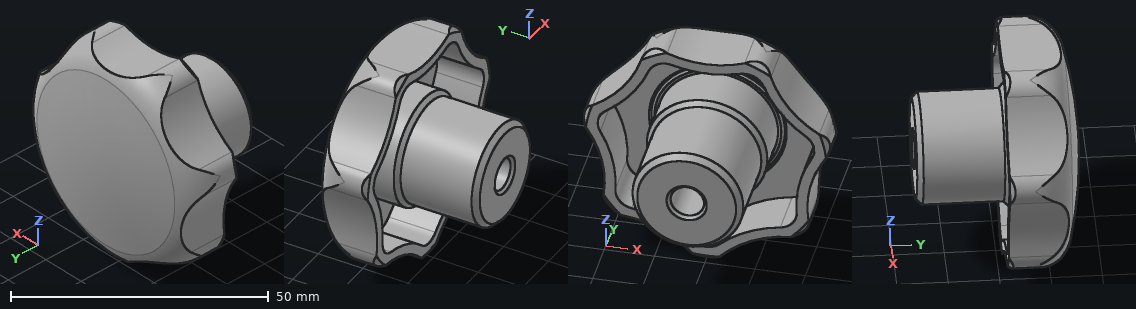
import cadquery as cq
import math


LOBES = 7
FIRST_LOBE_ANGLE = -90.0

HEAD_HEIGHT = 15.0
LOBE_TIP_RADIUS = 25.0
DOME_EDGE_RADIUS = 19.6
DOME_RISE = 2.55
SHOULDER_RADIUS = 8.0
RIM_CHAMFER = 1.0

LOBE_CENTER_RADIUS = 21.05
VALLEY_RADIUS = 21.25
VALLEY_WALL = 2.2
POCKET_LOBE_TIP = 21.95
POCKET_DEPTH = 10.45

STEM_DIAMETER = 22.0
STEM_LENGTH = 17.05
STEM_CHAMFER = 1.17
HUB_DIAMETER = 24.0

GROOVE_INNER_RADIUS = 12.65
GROOVE_BOTTOM_RADIUS = 13.3
GROOVE_OUTER_RADIUS = 13.7
GROOVE_DEPTH = 0.3

HOLE_DIAMETER = 6.65
HOLE_MOUTH_DIAMETER = 8.0
HOLE_DEPTH = 16.0

HALF_PITCH = math.pi / LOBES
AXIS_START = (0, 0, 0)
AXIS_END = (0, 1, 0)


def revolve(profile):
    """Turn a closed (radius, Y) profile about the Y axis."""
    return profile.close().revolve(360, AXIS_START, AXIS_END)


def polar(radius, angle):
    return radius * math.cos(angle), radius * math.sin(angle)


def valley_arc_radius(lobe_center, lobe_radius, valley_radius):
    """Radius of the hollow arc that is tangent to the lobes on either side."""
    along = lobe_center * math.cos(HALF_PITCH) - valley_radius
    across = lobe_center * math.sin(HALF_PITCH)
    return (along**2 + across**2 - lobe_radius**2) / (2 * (along + lobe_radius))


def lobed_prism(lobe_center, lobe_radius, valley_radius, length):
    """Extrude a tangent chain of lobe and valley arcs toward +Y from the rim."""
    arc_radius = valley_arc_radius(lobe_center, lobe_radius, valley_radius)
    valley_center = valley_radius + arc_radius
    share = lobe_radius / (lobe_radius + arc_radius)

    def tangent_point(lobe_angle, side):
        lobe = polar(lobe_center, lobe_angle)
        valley = polar(valley_center, lobe_angle + side * HALF_PITCH)
        return tuple(a + share * (b - a) for a, b in zip(lobe, valley))

    first = math.radians(FIRST_LOBE_ANGLE)
    outline = cq.Workplane("XZ").moveTo(*tangent_point(first, -1))
    for index in range(LOBES):
        angle = first + 2 * index * HALF_PITCH
        following = angle + 2 * HALF_PITCH
        lobe_tip = polar(lobe_center + lobe_radius, angle)
        valley_bottom = polar(valley_radius, angle + HALF_PITCH)
        outline = outline.threePointArc(lobe_tip, tangent_point(angle, 1))
        outline = outline.threePointArc(valley_bottom, tangent_point(following, -1))
    return outline.close().extrude(-length)


def head_envelope():
    """Round domed head with a rounded shoulder and a chamfered rim."""
    dome_edge_y = HEAD_HEIGHT - DOME_RISE
    dome_radius = (DOME_EDGE_RADIUS**2 + DOME_RISE**2) / (2 * DOME_RISE)
    dome_mid_x = DOME_EDGE_RADIUS / 2
    dome_mid_y = HEAD_HEIGHT - dome_radius + math.sqrt(dome_radius**2 - dome_mid_x**2)

    shoulder_x = LOBE_TIP_RADIUS - SHOULDER_RADIUS
    edge_angle = math.acos((DOME_EDGE_RADIUS - shoulder_x) / SHOULDER_RADIUS)
    shoulder_y = dome_edge_y - SHOULDER_RADIUS * math.sin(edge_angle)
    mid_x, mid_y = polar(SHOULDER_RADIUS, edge_angle / 2)

    profile = (
        cq.Workplane("XY")
        .lineTo(LOBE_TIP_RADIUS - RIM_CHAMFER, 0)
        .lineTo(LOBE_TIP_RADIUS, RIM_CHAMFER)
        .lineTo(LOBE_TIP_RADIUS, shoulder_y)
        .threePointArc((shoulder_x + mid_x, shoulder_y + mid_y), (DOME_EDGE_RADIUS, dome_edge_y))
        .threePointArc((dome_mid_x, dome_mid_y), (0, HEAD_HEIGHT))
    )
    return revolve(profile)


def pocket():
    """Lobed hollow that leaves an even wall along the valleys."""
    outer_lobe_radius = LOBE_TIP_RADIUS - LOBE_CENTER_RADIUS
    outer_arc = valley_arc_radius(LOBE_CENTER_RADIUS, outer_lobe_radius, VALLEY_RADIUS)
    valley_center = VALLEY_RADIUS + outer_arc
    arc_radius = outer_arc + VALLEY_WALL

    cosine = math.cos(HALF_PITCH)
    tip_to_valley = POCKET_LOBE_TIP**2 + valley_center**2 - 2 * POCKET_LOBE_TIP * valley_center * cosine
    slope = arc_radius + POCKET_LOBE_TIP - valley_center * cosine
    lobe_radius = (tip_to_valley - arc_radius**2) / (2 * slope)
    return lobed_prism(
        POCKET_LOBE_TIP - lobe_radius, lobe_radius, VALLEY_RADIUS - VALLEY_WALL, POCKET_DEPTH
    )


def hub_groove():
    """Ring groove in the pocket floor: curved inner side, sloped outer side."""
    width = GROOVE_BOTTOM_RADIUS - GROOVE_INNER_RADIUS
    bottom_y = POCKET_DEPTH + GROOVE_DEPTH
    arc_radius = (width**2 + GROOVE_DEPTH**2) / (2 * GROOVE_DEPTH)
    half_angle = math.asin(width / arc_radius) / 2
    arc_mid = (
        GROOVE_BOTTOM_RADIUS - arc_radius * math.sin(half_angle),
        bottom_y - arc_radius * (1 - math.cos(half_angle)),
    )
    profile = (
        cq.Workplane("XY")
        .moveTo(GROOVE_INNER_RADIUS, POCKET_DEPTH)
        .threePointArc(arc_mid, (GROOVE_BOTTOM_RADIUS, bottom_y))
        .lineTo(GROOVE_OUTER_RADIUS, POCKET_DEPTH)
    )
    return revolve(profile)


def hub_and_stem():
    """Stem with a chamfered end, widening through a cone to the hub."""
    stem_radius = STEM_DIAMETER / 2
    hub_radius = HUB_DIAMETER / 2
    profile = (
        cq.Workplane("XY")
        .moveTo(0, -STEM_LENGTH)
        .lineTo(stem_radius - STEM_CHAMFER, -STEM_LENGTH)
        .lineTo(stem_radius, STEM_CHAMFER - STEM_LENGTH)
        .lineTo(stem_radius, 0)
        .lineTo(hub_radius, hub_radius - stem_radius)
        .lineTo(hub_radius, POCKET_DEPTH)
        .lineTo(0, POCKET_DEPTH)
    )
    return revolve(profile)


def blind_hole():
    """Flat-bottomed hole with a 45 degree countersink at the stem end."""
    hole_radius = HOLE_DIAMETER / 2
    mouth_radius = HOLE_MOUTH_DIAMETER / 2
    profile = (
        cq.Workplane("XY")
        .moveTo(0, -STEM_LENGTH)
        .lineTo(mouth_radius, -STEM_LENGTH)
        .lineTo(hole_radius, mouth_radius - hole_radius - STEM_LENGTH)
        .lineTo(hole_radius, HOLE_DEPTH - STEM_LENGTH)
        .lineTo(0, HOLE_DEPTH - STEM_LENGTH)
    )
    return revolve(profile)


lobed_blank = lobed_prism(
    LOBE_CENTER_RADIUS, LOBE_TIP_RADIUS - LOBE_CENTER_RADIUS, VALLEY_RADIUS, HEAD_HEIGHT
)
head = head_envelope().intersect(lobed_blank).cut(pocket()).cut(hub_groove())
result = head.union(hub_and_stem()).cut(blind_hole())